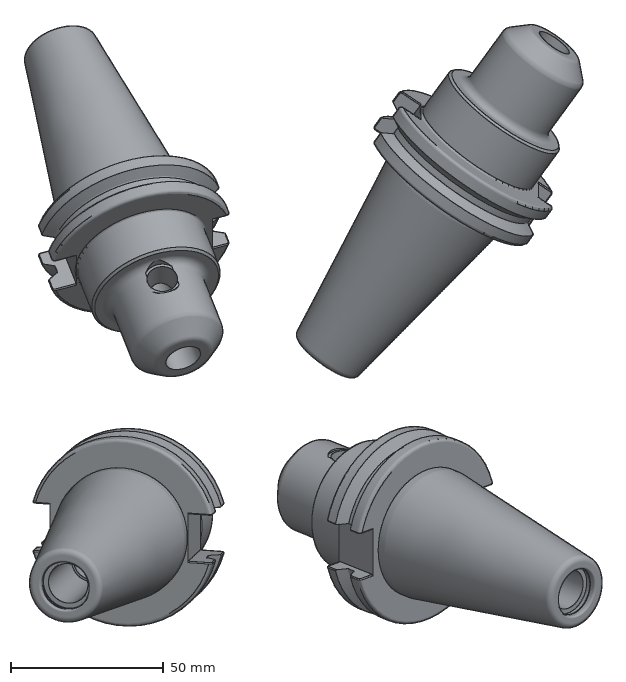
import cadquery as cq
import math

total_length = 131.8
taper_end = 68.1
flange_start = 71.3
flange_end = 87.2
collar_end = 103.5

gauge_diameter = 44.4
taper_rate = 7 / 24
taper_end_fillet = 2.0

flange_diameter = 63.5
flange_edge_fillet = 1.0
groove_root_diameter = 56.1
groove_root_width = 2.8
groove_root_fillet = 0.4
groove_flank_angle = 30.0

collar_chamfer = 0.8
collar_root_fillet = 0.7
nose_diameter = 31.8
nose_root_fillet = 2.6
nose_cone_length = 6.0
nose_cone_fillet = 2.2

slot_width = 16.1
slot_edge_chamfer = 0.4
slot_floor_front = 22.4
slot_floor_back = 24.6

pilot_diameter = 16.3
pilot_depth = 2.5
pilot_mouth_fillet = 0.7
relief_diameter = 16.9
relief_end = 4.2
thread_diameter = 13.5
thread_depth = 33.0
through_diameter = 12.0

screw_position = 109.6
screw_diameter = 10.0
screw_seat_diameter = 12.0
screw_seat_depth = 0.7

gauge_radius = gauge_diameter / 2
flange_radius = flange_diameter / 2
groove_root_radius = groove_root_diameter / 2
nose_radius = nose_diameter / 2


def ring_edge(body, x, radius):
    """Select the circular edge around the X axis with this station and radius."""
    tolerance = 0.01
    return body.edges("%CIRCLE").filter(
        lambda edge: abs(edge.Center().x - x) < tolerance and abs(edge.radius() - radius) < tolerance
    )


def make_body():
    """Turned outer shape: taper, grooved flange, collar and nose."""
    small_end_radius = gauge_radius - taper_end * taper_rate / 2
    groove_center = (flange_start + flange_end) / 2
    root_half = groove_root_width / 2
    groove_depth = flange_radius - groove_root_radius
    mouth_half = root_half + groove_depth * math.tan(math.radians(groove_flank_angle))
    cone_start = total_length - nose_cone_length
    nose_end_radius = nose_radius - nose_cone_length

    body = (
        cq.Workplane("XY")
        .polyline([
            (0, 0),
            (0, small_end_radius),
            (taper_end, gauge_radius),
            (flange_start, gauge_radius),
            (flange_start, flange_radius),
            (groove_center - mouth_half, flange_radius),
            (groove_center - root_half, groove_root_radius),
            (groove_center + root_half, groove_root_radius),
            (groove_center + mouth_half, flange_radius),
            (flange_end, flange_radius),
            (flange_end, gauge_radius),
            (collar_end, gauge_radius),
            (collar_end, nose_radius),
            (cone_start, nose_radius),
            (total_length, nose_end_radius),
            (total_length, 0),
        ])
        .close()
        .revolve(360, (0, 0, 0), (1, 0, 0))
    )
    rounded_edges = [
        (0, small_end_radius, taper_end_fillet),
        (flange_start, flange_radius, flange_edge_fillet),
        (groove_center - root_half, groove_root_radius, groove_root_fillet),
        (groove_center + root_half, groove_root_radius, groove_root_fillet),
        (flange_end, flange_radius, flange_edge_fillet),
        (flange_end, gauge_radius, collar_root_fillet),
        (collar_end, nose_radius, nose_root_fillet),
        (cone_start, nose_radius, nose_cone_fillet),
        (total_length, nose_end_radius, nose_cone_fillet),
    ]
    for x, radius, fillet in rounded_edges:
        body = ring_edge(body, x, radius).fillet(fillet)
    return ring_edge(body, collar_end, gauge_radius).chamfer(collar_chamfer)


def cut_slot(body, side, floor):
    """Cut a drive slot on the +Y (side = 1) or -Y (side = -1) half and break its wall edges."""
    clearance = 1.3
    depth = flange_radius + clearance - floor
    length = flange_end - flange_start
    slot_center = ((flange_start + flange_end) / 2, side * (floor + depth / 2), 0)
    body = body.cut(cq.Workplane("XY").box(length, depth, slot_width).translate(slot_center))

    land_radius = flange_radius - flange_edge_fillet

    def on_wall_outline(edge):
        """True for wall edges along the flange faces and the outer rim of the flange."""
        box = edge.BoundingBox()
        on_wall = box.zlen < 0.01 and abs(abs(box.center.z) - slot_width / 2) < 0.01
        on_side = side * box.center.y > floor + 0.01
        on_face = box.xlen < 0.01
        on_rim = math.hypot(edge.Center().y, edge.Center().z) > land_radius
        return on_wall and on_side and (on_face or on_rim)

    return body.newObject(body.edges().filter(on_wall_outline).vals()).chamfer(slot_edge_chamfer)


def make_bores():
    """Stepped axial bore, widest near the small end of the taper."""
    pilot_radius = pilot_diameter / 2
    mouth_radius = pilot_radius + pilot_mouth_fillet
    arc_offset = pilot_mouth_fillet * math.sqrt(0.5)
    return (
        cq.Workplane("XY")
        .moveTo(0, 0)
        .lineTo(0, mouth_radius)
        .threePointArc(
            (pilot_mouth_fillet - arc_offset, mouth_radius - arc_offset),
            (pilot_mouth_fillet, pilot_radius),
        )
        .lineTo(pilot_depth, pilot_radius)
        .lineTo(pilot_depth, relief_diameter / 2)
        .lineTo(relief_end, relief_diameter / 2)
        .lineTo(relief_end, thread_diameter / 2)
        .lineTo(thread_depth, thread_diameter / 2)
        .lineTo(thread_depth, through_diameter / 2)
        .lineTo(total_length, through_diameter / 2)
        .lineTo(total_length, 0)
        .close()
        .revolve(360, (0, 0, 0), (1, 0, 0))
    )


def make_screw_hole():
    """Radial hole from the top of the nose into the bore, with a shallow flat seat around it."""
    hole = cq.Workplane("XY").circle(screw_diameter / 2).extrude(nose_radius)
    seat = (
        cq.Workplane("XY", origin=(0, 0, nose_radius - screw_seat_depth))
        .circle(screw_seat_diameter / 2)
        .extrude(gauge_radius - nose_radius)
    )
    return hole.union(seat).translate((screw_position, 0, 0))


result = make_body()
result = cut_slot(result, -1, slot_floor_front)
result = cut_slot(result, 1, slot_floor_back)
result = result.cut(make_bores()).cut(make_screw_hole())